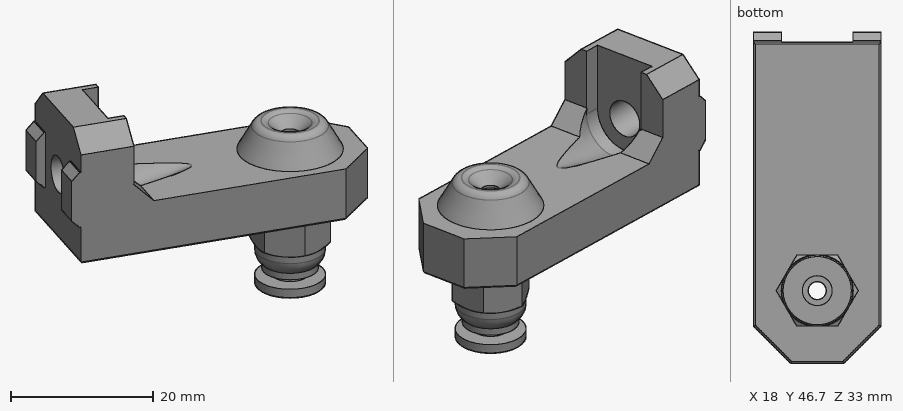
import cadquery as cq
import math


width = 18.0
front_y = -35.0
plate_thickness = 8.0
total_height = 20.0
riser_thickness = 8.0
riser_back_y = front_y + riser_thickness
gusset = 3.0
top_chamfer = 3.0
bottom_chamfer = 0.3
rear_chamfer = width / (2 + math.sqrt(2))
rear_y = 5.0 + rear_chamfer

tab_width = 4.0
tab_root_depth = 0.2
tab_slope = 1.2
tab_face_height = 6.2

screw_z = 10.0
screw_hole_diameter = 5.5
head_diameter = 10.0
head_seat_y = front_y + 5.6
access_slope = 0.248
access_end_radius = 1.0

dome_top_radius = 5.0
dome_base_radius = 7.5
dome_height = 4.4
dome_fillet = 1.5
funnel_radius = 3.5
funnel_fillet = 1.5
funnel_angle = math.radians(40)

throat_diameter = 2.5
throat_length = 0.4
tube_bore_diameter = 4.2

hex_across_flats = 10.0
hex_height = 6.53
hex_chamfer_diameter = 10.15
hex_chamfer_angle = math.radians(30)
body_diameter = 10.0
body_straight = 1.0
body_round_height = 2.0
body_round_radius = 2.5
shoulder_diameter = 8.0
shoulder_height = 1.0
neck_diameter = 5.0
neck_height = 1.0
flange_diameter = 10.0
flange_height = 1.5
flange_chamfer = 0.2


def make_base():
    """L-shaped block with gusset, chamfered corners and chamfered underside."""
    block = (
        cq.Workplane("YZ")
        .moveTo(front_y, 0)
        .lineTo(rear_y, 0)
        .lineTo(rear_y, plate_thickness)
        .lineTo(riser_back_y + gusset, plate_thickness)
        .lineTo(riser_back_y, plate_thickness + gusset)
        .lineTo(riser_back_y, total_height)
        .lineTo(front_y, total_height)
        .close()
        .extrude(width / 2, both=True)
    )
    block = block.edges("|Z and >Y").chamfer(rear_chamfer)
    block = block.faces(">Z").edges("|Y").chamfer(top_chamfer)
    return block.faces("<Z").edges().chamfer(bottom_chamfer)


def make_tab(center_x):
    """Tab with sloped upper and lower sides, standing on the front face."""
    face_half = tab_face_height / 2
    root_half = face_half + tab_slope
    slope_start_y = front_y - tab_root_depth
    face_y = slope_start_y - tab_slope
    return (
        cq.Workplane("YZ", origin=(center_x, 0, screw_z))
        .moveTo(front_y, -root_half)
        .lineTo(slope_start_y, -root_half)
        .lineTo(face_y, -face_half)
        .lineTo(face_y, face_half)
        .lineTo(slope_start_y, root_half)
        .lineTo(front_y, root_half)
        .close()
        .extrude(tab_width / 2, both=True)
    )


def make_dome():
    """Truncated cone with a rounded rim, standing on the plate."""
    cone = (
        cq.Workplane("XZ", origin=(0, 0, plate_thickness))
        .lineTo(dome_base_radius, 0)
        .lineTo(dome_top_radius, dome_height)
        .lineTo(0, dome_height)
        .close()
        .revolve(360, (0, 0), (0, 1))
    )
    return cone.faces(">Z").edges().fillet(dome_fillet)


def make_funnel_cut():
    """Conical funnel with a rounded mouth, a short throat and the tube bore below."""
    top_z = plate_thickness + dome_height
    throat_radius = throat_diameter / 2
    bore_radius = tube_bore_diameter / 2
    funnel_bottom_z = top_z - (funnel_radius - throat_radius) * math.tan(funnel_angle)
    bore_top_z = funnel_bottom_z - throat_length
    mouth_radius = funnel_radius + funnel_fillet * math.tan(funnel_angle / 2)
    fillet_center_z = top_z - funnel_fillet

    def mouth_point(angle):
        return (
            mouth_radius - funnel_fillet * math.sin(angle),
            fillet_center_z + funnel_fillet * math.cos(angle),
        )

    return (
        cq.Workplane("XZ")
        .lineTo(bore_radius, 0)
        .lineTo(bore_radius, bore_top_z)
        .lineTo(throat_radius, bore_top_z)
        .lineTo(throat_radius, funnel_bottom_z)
        .lineTo(*mouth_point(funnel_angle))
        .threePointArc(mouth_point(funnel_angle / 2), (mouth_radius, top_z))
        .lineTo(0, top_z)
        .close()
        .revolve(360, (0, 0), (0, 1))
    )


def make_screw_cut():
    """Through hole, open-topped seat for the screw head and tapered access groove."""
    head_radius = head_diameter / 2
    seat_length = riser_back_y - head_seat_y
    access_length = (head_radius - access_end_radius) / access_slope
    hole = (
        cq.Workplane("XZ", origin=(0, head_seat_y, screw_z))
        .circle(screw_hole_diameter / 2)
        .extrude(head_seat_y - front_y)
    )
    bore_and_access = (
        cq.Workplane("XY", origin=(0, 0, screw_z))
        .moveTo(0, head_seat_y)
        .lineTo(head_radius, head_seat_y)
        .lineTo(head_radius, riser_back_y)
        .lineTo(access_end_radius, riser_back_y + access_length)
        .lineTo(0, riser_back_y + access_length)
        .close()
        .revolve(360, (0, 0), (0, 1))
    )
    open_top = (
        cq.Workplane("XY", origin=(0, head_seat_y, screw_z))
        .box(head_diameter, seat_length, total_height - screw_z, centered=(True, False, False))
    )
    return hole, bore_and_access, open_top


def make_housing():
    housing = make_base()
    for side in (-1, 1):
        housing = housing.union(make_tab(side * (width - tab_width) / 2))
    for cut in make_screw_cut():
        housing = housing.cut(cut)
    return housing.union(make_dome()).cut(make_funnel_cut())


def make_hexagon():
    """Hexagon with corners along X, both ends chamfered on a circle."""
    across_corners = hex_across_flats / math.cos(math.radians(30))
    corner_radius = across_corners / 2
    chamfer_radius = hex_chamfer_diameter / 2
    chamfer_height = (corner_radius - chamfer_radius) * math.tan(hex_chamfer_angle)
    prism = cq.Workplane("XY").polygon(6, across_corners).extrude(-hex_height)
    envelope = (
        cq.Workplane("XZ")
        .lineTo(chamfer_radius, 0)
        .lineTo(corner_radius, -chamfer_height)
        .lineTo(corner_radius, chamfer_height - hex_height)
        .lineTo(chamfer_radius, -hex_height)
        .lineTo(0, -hex_height)
        .close()
        .revolve(360, (0, 0), (0, 1))
    )
    return prism.intersect(envelope)


def make_fitting():
    body_radius = body_diameter / 2
    shoulder_radius = shoulder_diameter / 2
    neck_radius = neck_diameter / 2
    flange_radius = flange_diameter / 2

    round_top_z = -hex_height - body_straight
    shoulder_top_z = round_top_z - body_round_height
    neck_top_z = shoulder_top_z - shoulder_height
    flange_top_z = neck_top_z - neck_height
    bottom_z = flange_top_z - flange_height

    mid_angle = math.asin(body_round_height / body_round_radius) / 2
    round_middle = (
        body_radius - body_round_radius * (1 - math.cos(mid_angle)),
        round_top_z - body_round_radius * math.sin(mid_angle),
    )
    turned_part = (
        cq.Workplane("XZ")
        .moveTo(0, -hex_height)
        .lineTo(body_radius, -hex_height)
        .lineTo(body_radius, round_top_z)
        .threePointArc(round_middle, (shoulder_radius, shoulder_top_z))
        .lineTo(shoulder_radius, neck_top_z)
        .lineTo(neck_radius, neck_top_z)
        .lineTo(neck_radius, flange_top_z)
        .lineTo(flange_radius, flange_top_z)
        .lineTo(flange_radius, bottom_z + flange_chamfer)
        .lineTo(flange_radius - flange_chamfer, bottom_z)
        .lineTo(0, bottom_z)
        .close()
        .revolve(360, (0, 0), (0, 1))
    )
    tube_bore = cq.Workplane("XY").circle(tube_bore_diameter / 2).extrude(bottom_z)
    return make_hexagon().union(turned_part).cut(tube_bore)


housing = make_housing()
fitting = make_fitting()

result = cq.Compound.makeCompound([housing.val(), fitting.val()])